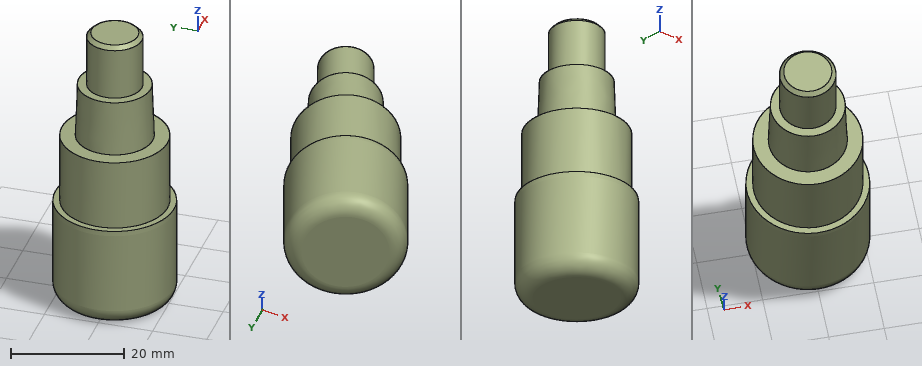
import cadquery as cq
import math

overall_height = 54.0

knob_diameter = 22.0
knob_height = 19.6
knob_edge_radius = 3.2
rim_height = 1.0
rim_inset = 0.05

shoulder_diameter = 19.5
step_length = 10.5
taper_base_diameter = 14.0
taper_half_angle = 2.0
pin_diameter = 10.0
pin_chamfer = 0.75

pin_start = overall_height - step_length
taper_start = pin_start - step_length
knob_radius = knob_diameter / 2
shoulder_radius = shoulder_diameter / 2
taper_base_radius = taper_base_diameter / 2
taper_top_radius = taper_base_radius - step_length * math.tan(math.radians(taper_half_angle))
pin_radius = pin_diameter / 2


def turn(half_profile):
    """Close a (radius, height) half profile and turn it about Z."""
    return half_profile.close().revolve(360, (0, 0), (0, 1))


def make_knob():
    """Round knob with a rounded lower edge and a slightly conical rim."""
    half_profile = (
        cq.Workplane("XZ")
        .lineTo(knob_radius - knob_edge_radius, 0)
        .radiusArc((knob_radius, knob_edge_radius), -knob_edge_radius)
        .lineTo(knob_radius, knob_height - rim_height)
        .lineTo(knob_radius - rim_inset, knob_height)
        .lineTo(0, knob_height)
    )
    return turn(half_profile)


def make_pin():
    """Stepped pin on the knob: shoulder, taper and chamfered straight end."""
    half_profile = cq.Workplane("XZ").polyline([
        (0, knob_height),
        (shoulder_radius, knob_height),
        (shoulder_radius, taper_start),
        (taper_base_radius, taper_start),
        (taper_top_radius, pin_start),
        (pin_radius, pin_start),
        (pin_radius, overall_height - pin_chamfer),
        (pin_radius - pin_chamfer, overall_height),
        (0, overall_height),
    ])
    return turn(half_profile)


knob = make_knob()
pin = make_pin()
result = cq.Compound.makeCompound([knob.val(), pin.val()])